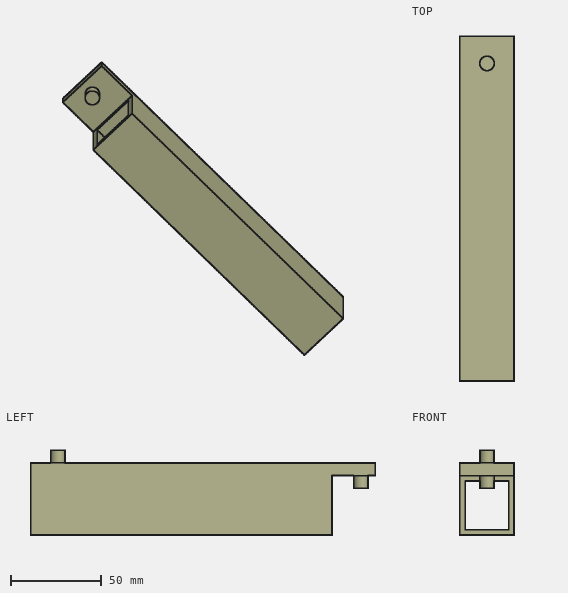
import cadquery as cq

length = 190.0
width = 30.0
beam_height = 39.9

tongue_length = 24.0
tongue_thickness = 7.0

wall = 3.0
tube_height = beam_height - tongue_thickness

pin_diameter = 8.0
pin_height = 7.0
top_pin_from_back = 15.0
lower_pin_from_front = 8.0


def block(x_size, y_start, y_end, z_start, z_end):
    """Box centred on X that spans the given Y and Z ranges."""
    return (
        cq.Workplane("XY")
        .box(x_size, y_end - y_start, z_end - z_start, centered=(True, False, False))
        .translate((0, y_start, z_start))
    )


def pin(y, z_start, z_end):
    """Vertical pin on the centre line of the beam."""
    return (
        cq.Workplane("XY", origin=(0, y, z_start))
        .circle(pin_diameter / 2)
        .extrude(z_end - z_start)
    )


plate = block(width, 0, length, tube_height, beam_height)
tube = block(width, tongue_length, length, 0, tube_height)
bore = block(width - 2 * wall, tongue_length, length, wall, tube_height - wall)
beam = plate.union(tube.cut(bore))

plate_middle = beam_height - tongue_thickness / 2
top_pin = pin(length - top_pin_from_back, plate_middle, beam_height + pin_height)
lower_pin = pin(lower_pin_from_front, tube_height - pin_height, plate_middle)

result = beam.union(top_pin).union(lower_pin)